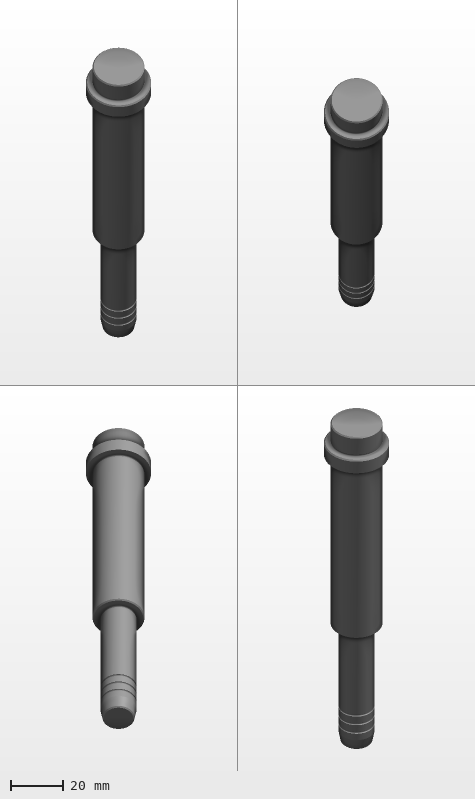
import cadquery as cq

total_length = 150.0
collar_diameter = 25.0
body_diameter = 20.0
pin_diameter = 14.0
tip_diameter = 12.3

taper_height = 5.1
pin_length = 55.0
collar_bottom = 135.0
collar_thickness = 6.0

groove_width = 0.9
first_groove_bottom = 8.1
groove_pitch = 4.0
groove_count = 3

edge_chamfer = 0.5
tip_chamfer = 0.5

collar_top = collar_bottom + collar_thickness


def cylinder(diameter, bottom, top):
    """Solid cylinder on the Z axis between two heights."""
    return cq.Workplane("XY").workplane(offset=bottom).circle(diameter / 2).extrude(top - bottom)


def groove(diameter, bottom):
    """Ring that cuts a shallow half-round groove into a shaft of the given diameter."""
    groove_radius = groove_width / 2
    return (
        cq.Workplane("XZ")
        .center(diameter / 2, bottom + groove_radius)
        .circle(groove_radius)
        .revolve(360, (-diameter / 2, 0, 0), (-diameter / 2, 1, 0))
    )


def make_pin():
    """Lower pin with a tapered tip, grip grooves and a relief under the body."""
    tip = (
        cq.Workplane("XZ")
        .lineTo(tip_diameter / 2 - tip_chamfer, 0)
        .lineTo(tip_diameter / 2, tip_chamfer)
        .lineTo(pin_diameter / 2, taper_height)
        .lineTo(0, taper_height)
        .close()
        .revolve(360, (0, 0, 0), (0, 1, 0))
    )
    pin = tip.union(cylinder(pin_diameter, taper_height, pin_length))
    for index in range(groove_count):
        pin = pin.cut(groove(pin_diameter, first_groove_bottom + index * groove_pitch))
    return pin.cut(groove(pin_diameter, pin_length - groove_width))


def make_body():
    """Main shaft and head, with relief grooves on both sides of the collar."""
    body = cylinder(body_diameter, pin_length, total_length).edges().chamfer(edge_chamfer)
    body = body.cut(groove(body_diameter, collar_bottom - groove_width))
    return body.cut(groove(body_diameter, collar_top))


def make_collar():
    """Flange ring with its upper rim chamfered."""
    return cylinder(collar_diameter, collar_bottom, collar_top).edges(">Z").chamfer(edge_chamfer)


result = make_pin().union(make_body()).union(make_collar())